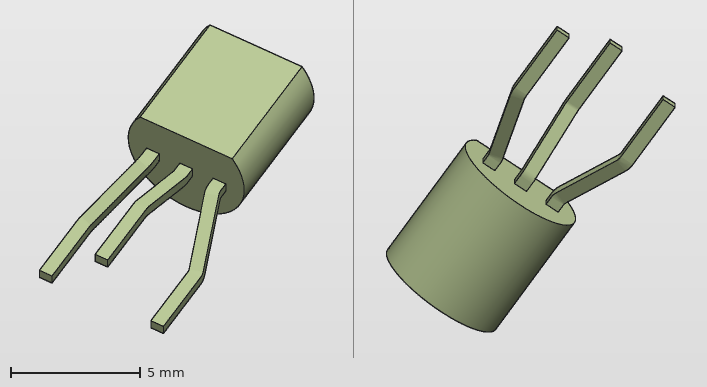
import cadquery as cq
import math


body_radius = 2.6
body_length = 5.35
flat_height = 1.59

overall_length = 11.84
lead_length = overall_length - body_length
lead_width = 0.57
lead_thickness = 0.44
lead_root_z = -0.34
root_pitch = 1.49
foot_pitch = 2.5
foot_rise = 1.25
bend_radius = 0.51
middle_bend_start = 0.4
middle_bend_end = 3.58
outer_bend_start = 0.37
outer_bend_end = 3.62


def make_body():
    """Cylinder along Y with its top cut to a flat."""
    half_flat = math.sqrt(body_radius**2 - flat_height**2)
    return (
        cq.Workplane("XZ")
        .moveTo(-half_flat, flat_height)
        .threePointArc((0, -body_radius), (half_flat, flat_height))
        .close()
        .extrude(-body_length)
    )


def make_lead(root_x, shift_x, shift_z, bend_start, bend_end):
    """Rectangular bar with an S-bend that carries its foot sideways by (shift_x, shift_z)."""
    shift = math.hypot(shift_x, shift_z)
    run = bend_end - bend_start

    diameter = 2 * bend_radius
    slope_length = math.sqrt(run**2 + (shift - diameter) ** 2 - diameter**2)
    angle = math.atan2(shift - diameter, run) + math.atan2(diameter, slope_length)

    def arc_point(turn):
        """Advance and sideways offset after turning through an angle on a bend."""
        return bend_radius * math.sin(turn), bend_radius * (1 - math.cos(turn))

    mid_advance, mid_offset = arc_point(angle / 2)
    end_advance, end_offset = arc_point(angle)

    along = cq.Vector(0, -1, 0)
    sideways = cq.Vector(shift_x, 0, shift_z)
    path_plane = cq.Plane(origin=(root_x, 0, lead_root_z), xDir=along, normal=along.cross(sideways))
    path = (
        cq.Workplane(path_plane)
        .lineTo(bend_start, 0)
        .threePointArc((bend_start + mid_advance, mid_offset), (bend_start + end_advance, end_offset))
        .lineTo(bend_end - end_advance, shift - end_offset)
        .threePointArc((bend_end - mid_advance, shift - mid_offset), (bend_end, shift))
        .lineTo(lead_length, shift)
    )
    return (
        cq.Workplane("XZ", origin=(root_x, 0, lead_root_z))
        .rect(lead_width, lead_thickness)
        .sweep(path)
    )


def make_middle_lead():
    return make_lead(0, 0, foot_rise, middle_bend_start, middle_bend_end)


def make_outer_lead(side):
    """Outer lead on the -X side (side = -1) or the +X side (side = 1)."""
    splay = side * (foot_pitch - root_pitch)
    return make_lead(side * root_pitch, splay, -foot_rise, outer_bend_start, outer_bend_end)


body = make_body()
middle_lead = make_middle_lead()
outer_leads = [make_outer_lead(side) for side in (-1, 1)]

result = cq.Compound.makeCompound(
    [body.val(), middle_lead.val(), *[lead.val() for lead in outer_leads]]
)